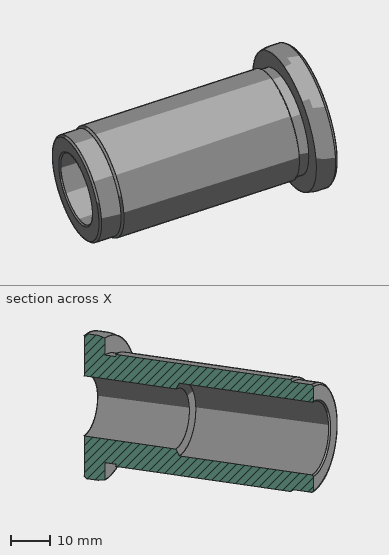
import cadquery as cq
import math

total_length = 65.0
flange_thickness = 6.0
flange_back_chamfer_length = 0.8
flange_taper_length = 2.0
neck_length = 2.9
pilot_length = 6.0

flange_radius = 19.5
body_radius = 15.1
neck_radius = 14.5

flange_back_chamfer_depth = 0.65
flange_taper_depth = 0.45
pilot_chamfer = 0.5
mouth_chamfer = 0.4

relief_radius = 9.7
guide_radius = 8.0
guide_length = 26.0
drill_tip_angle = 118.0

back_y = total_length / 2
front_y = -back_y
flange_front_y = back_y - flange_thickness
body_back_y = flange_front_y - neck_length
pilot_back_y = front_y + pilot_length
guide_front_y = back_y - guide_length
cone_length = (relief_radius - guide_radius) / math.tan(math.radians(drill_tip_angle / 2))
body_chamfer = body_radius - neck_radius

half_section = [
    (guide_radius, back_y),
    (flange_radius - flange_back_chamfer_depth, back_y),
    (flange_radius, back_y - flange_back_chamfer_length),
    (flange_radius, flange_front_y + flange_taper_length),
    (flange_radius - flange_taper_depth, flange_front_y),
    (neck_radius, flange_front_y),
    (neck_radius, body_back_y),
    (body_radius, body_back_y),
    (body_radius, pilot_back_y + body_chamfer),
    (neck_radius, pilot_back_y),
    (neck_radius, front_y + pilot_chamfer),
    (neck_radius - pilot_chamfer, front_y),
    (relief_radius + mouth_chamfer, front_y),
    (relief_radius, front_y + mouth_chamfer),
    (relief_radius, guide_front_y - cone_length),
    (guide_radius, guide_front_y),
]

result = cq.Workplane("XY").polyline(half_section).close().revolve(360, (0, 0, 0), (0, 1, 0))